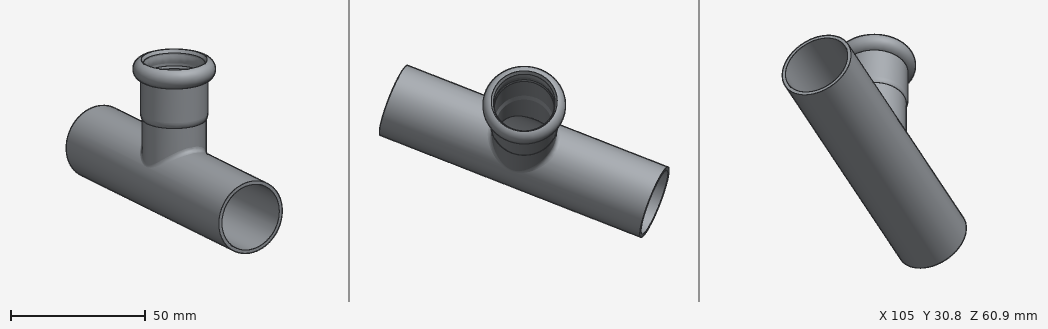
import cadquery as cq
import math

run_length = 105.0
run_outer_d = 28.0
run_inner_d = 25.3

branch_top = 61.0 - run_outer_d / 2
branch_outer_r = 23.8 / 2
branch_bore_r = 21.0 / 2
root_fillet = 1.8

socket_outer_r = 25.1 / 2
socket_bore_r = 22.3 / 2
shoulder_start_z = branch_top - 20.9
shoulder_end_z = branch_top - 23.1

bead_outer_r = 30.8 / 2
bead_section_r = 3.8
bead_center_r = bead_outer_r - bead_section_r
bead_center_z = branch_top - bead_section_r

mouth_r = 24.6 / 2
land_r = 22.9 / 2
mouth_taper_depth = 1.4
seal_inner_r = 22.3 / 2
seal_top_z = branch_top - 2.1
seal_bottom_z = branch_top - 5.5
land_end_z = branch_top - 6.4
bore_start_z = branch_top - 7.4


def cylinder_x(diameter):
    """Cylinder over the full length of the run."""
    run_start = cq.Workplane("YZ").workplane(offset=-run_length / 2)
    return run_start.circle(diameter / 2).extrude(run_length)


def make_tee_blank():
    """Solid run and branch, blended where they meet."""
    branch = cq.Workplane("XY").circle(branch_outer_r).extrude(shoulder_end_z)
    tee = cylinder_x(run_outer_d).union(branch)
    root_zone = cq.selectors.BoxSelector(
        (-run_outer_d / 2, -run_outer_d / 2, 1.0),
        (run_outer_d / 2, run_outer_d / 2, run_outer_d / 2 + 1.0),
        boundingbox=True,
    )
    return tee.edges(root_zone).fillet(root_fillet)


def make_socket():
    """Solid socket with a rounded shoulder below and a bead at the mouth."""
    step = socket_outer_r - branch_outer_r
    drop = shoulder_start_z - shoulder_end_z
    shoulder_r = (step**2 + drop**2) / (2 * step)
    half_angle = math.asin(drop / shoulder_r) / 2
    shoulder_mid = (
        socket_outer_r - shoulder_r * (1 - math.cos(half_angle)),
        shoulder_start_z - shoulder_r * math.sin(half_angle),
    )
    bead_dr = socket_outer_r - bead_center_r
    bead_base_z = bead_center_z - math.sqrt(bead_section_r**2 - bead_dr**2)
    return (
        cq.Workplane("XZ")
        .moveTo(0, shoulder_end_z)
        .lineTo(branch_outer_r, shoulder_end_z)
        .threePointArc(shoulder_mid, (socket_outer_r, shoulder_start_z))
        .lineTo(socket_outer_r, bead_base_z)
        .threePointArc((bead_outer_r, bead_center_z), (bead_center_r, branch_top))
        .lineTo(0, branch_top)
        .close()
        .revolve(360, (0, 0, 0), (0, 1, 0))
    )


def make_branch_cavity():
    """Branch bore, socket bore, seal ring outline and tapered mouth."""
    return (
        cq.Workplane("XZ")
        .lineTo(branch_bore_r, 0)
        .lineTo(branch_bore_r, shoulder_end_z)
        .lineTo(socket_bore_r, shoulder_start_z)
        .lineTo(socket_bore_r, bore_start_z)
        .lineTo(land_r, land_end_z)
        .lineTo(land_r, seal_bottom_z)
        .threePointArc((seal_inner_r, (seal_bottom_z + seal_top_z) / 2), (land_r, seal_top_z))
        .lineTo(land_r, branch_top - mouth_taper_depth)
        .lineTo(mouth_r, branch_top)
        .lineTo(0, branch_top)
        .close()
        .revolve(360, (0, 0, 0), (0, 1, 0))
    )


result = (
    make_tee_blank()
    .union(make_socket())
    .cut(make_branch_cavity())
    .cut(cylinder_x(run_inner_d))
)